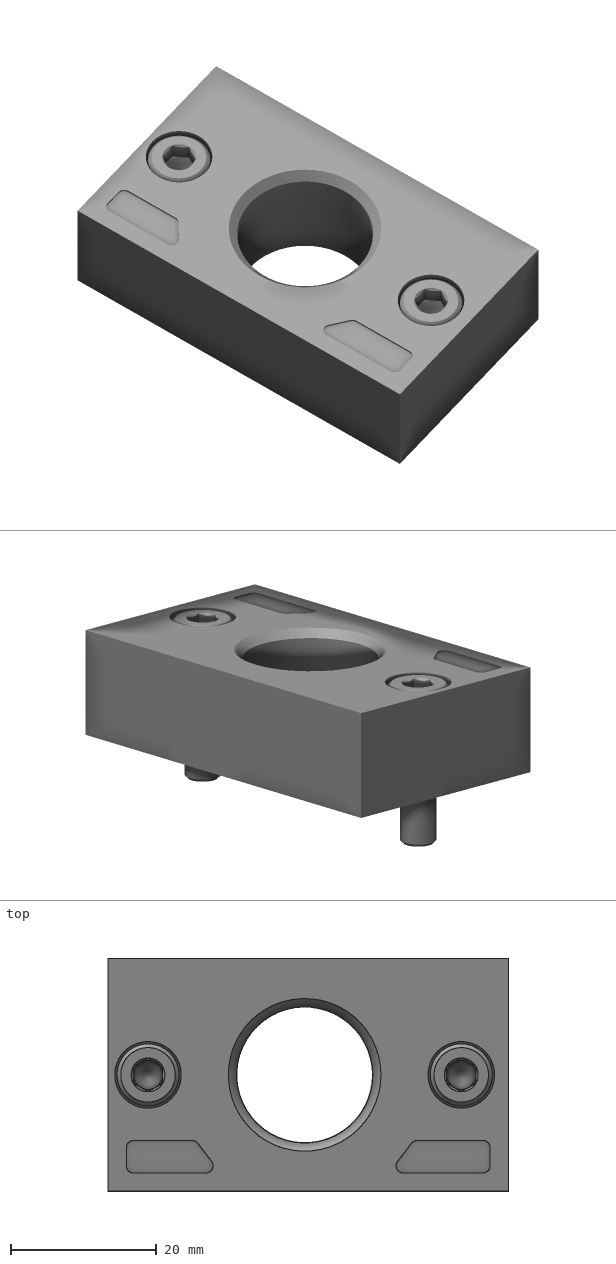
import cadquery as cq
import math

BLOCK_LENGTH = 55.0
BLOCK_WIDTH = 32.0
BLOCK_HEIGHT = 15.0
OVERALL_HEIGHT = 23.0

BORE_X = -0.5
BORE_DIAMETER = 18.65
BORE_CHAMFER = 1.15

SCREW_SPACING = 43.0
SCREW_XS = (BORE_X - SCREW_SPACING / 2, BORE_X + SCREW_SPACING / 2)
SHANK_DIAMETER = 5.0
SHANK_TIP_DIAMETER = 4.1
SHANK_TIP_LENGTH = 0.45
HEAD_DIAMETER = 8.5
HEAD_TOP_DIAMETER = 7.5
HEAD_CHAMFER_HEIGHT = 0.5
HEAD_HEIGHT = 5.0
HEAD_RECESS = 0.1
COUNTERBORE_DIAMETER = 9.15
COUNTERBORE_DEPTH = HEAD_HEIGHT + HEAD_RECESS

SOCKET_ACROSS_FLATS = 4.0
SOCKET_CORNER_DIAMETER = SOCKET_ACROSS_FLATS / math.cos(math.radians(30))
SOCKET_DEPTH = 2.35
SOCKET_FLOOR_ANGLE = 120.0
SOCKET_FLOOR_DEPTH = SOCKET_ACROSS_FLATS / 2 / math.tan(math.radians(SOCKET_FLOOR_ANGLE / 2))

LABEL_MARGIN = 2.55
LABEL_WIDTH = 4.45
LABEL_DEPTH = 0.3
LABEL_CORNER_RADIUS = 1.0
LABEL_TIP_OFFSET = 11.55
LABEL_SLANT_OFFSET = 14.95


def revolved(profile):
    """Solid of revolution about Z from (radius, z) points."""
    return cq.Workplane("XZ").polyline(profile).close().revolve(360, (0, 0), (0, 1))


def label_recess(side):
    """Cutter for the label recess at the -X (side = -1) or +X (side = 1) end."""
    outer_x = side * (BLOCK_LENGTH / 2 - LABEL_MARGIN)
    front_y = -BLOCK_WIDTH / 2 + LABEL_MARGIN
    rear_y = front_y + LABEL_WIDTH
    outline = [
        (outer_x, front_y),
        (BORE_X + side * LABEL_TIP_OFFSET, front_y),
        (BORE_X + side * LABEL_SLANT_OFFSET, rear_y),
        (outer_x, rear_y),
    ]
    recess = cq.Workplane("XY").polyline(outline).close().extrude(-LABEL_DEPTH)
    return recess.edges("|Z").fillet(LABEL_CORNER_RADIUS)


def bore_cutter():
    """Through bore with a chamfer at the top face."""
    radius = BORE_DIAMETER / 2
    cutter = revolved([
        (0, 0),
        (radius + BORE_CHAMFER, 0),
        (radius, -BORE_CHAMFER),
        (radius, -BLOCK_HEIGHT),
        (0, -BLOCK_HEIGHT),
    ])
    return cutter.translate((BORE_X, 0, 0))


def make_block():
    block = cq.Workplane("XY").rect(BLOCK_LENGTH, BLOCK_WIDTH).extrude(-BLOCK_HEIGHT)
    block = block.cut(bore_cutter())
    screw_points = [(x, 0) for x in SCREW_XS]
    block = (
        block.faces(">Z").workplane(origin=(0, 0, 0)).pushPoints(screw_points)
        .cboreHole(SHANK_DIAMETER, COUNTERBORE_DIAMETER, COUNTERBORE_DEPTH)
    )
    for side in (-1, 1):
        block = block.cut(label_recess(side))
    return block


def socket_cutter():
    """Hexagon socket below Z = 0, with two of its flats facing +X and -X."""
    hexagon = (
        cq.Workplane("XY").polygon(6, SOCKET_CORNER_DIAMETER).extrude(-SOCKET_DEPTH)
        .rotate((0, 0, 0), (0, 0, 1), 30)
    )
    floor = revolved([
        (0, -SOCKET_DEPTH),
        (SOCKET_ACROSS_FLATS / 2, -SOCKET_DEPTH),
        (0, -SOCKET_DEPTH - SOCKET_FLOOR_DEPTH),
    ])
    mouth = revolved([
        (0, 0),
        (SOCKET_CORNER_DIAMETER / 2, 0),
        (0, -SOCKET_CORNER_DIAMETER / 2),
    ])
    return hexagon.union(floor).union(mouth)


def make_screw(x):
    """Screw on the vertical axis at x; it is built with the head's top at Z = 0."""
    length = OVERALL_HEIGHT - HEAD_RECESS
    screw = revolved([
        (0, 0),
        (HEAD_TOP_DIAMETER / 2, 0),
        (HEAD_DIAMETER / 2, -HEAD_CHAMFER_HEIGHT),
        (HEAD_DIAMETER / 2, -HEAD_HEIGHT),
        (SHANK_DIAMETER / 2, -HEAD_HEIGHT),
        (SHANK_DIAMETER / 2, -length + SHANK_TIP_LENGTH),
        (SHANK_TIP_DIAMETER / 2, -length),
        (0, -length),
    ])
    screw = screw.cut(socket_cutter())
    return screw.translate((x, 0, -HEAD_RECESS))


block = make_block()
screws = [make_screw(x) for x in SCREW_XS]

result = cq.Compound.makeCompound([block.val(), *[screw.val() for screw in screws]])